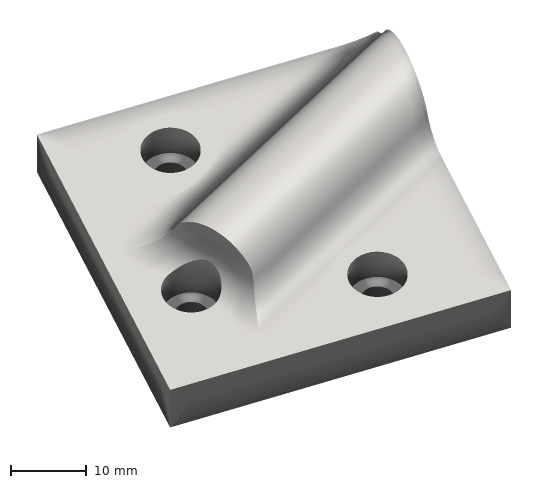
import cadquery as cq
import math

envelope = 66.0
plate_angle = -30.0
turn = math.radians(abs(plate_angle))
plate_side = envelope / (math.cos(turn) + math.sin(turn))
total_height = 15.0
plate_thickness = total_height / 2

ridge_radius = total_height - plate_thickness
fillet_radius = 5.0
ridge_end_y = -12.55

hole_offset = 17.5
hole_diameter = 4.6
counterbore_diameter = 8.0
counterbore_depth = 5.0
hole_positions = [(-hole_offset, 0), (hole_offset, 0), (0, -hole_offset)]


def square_prism(height):
    """Turned square standing on Z = 0."""
    prism = cq.Workplane("XY").rect(plate_side, plate_side).extrude(height)
    return prism.rotate((0, 0, 0), (0, 0, 1), plate_angle)


def ridge_bar():
    """Half-round bar along Y, flaring into the plate with concave fillets."""
    center_distance = ridge_radius + fillet_radius
    foot_x = math.sqrt(center_distance**2 - fillet_radius**2)
    tangent_x = foot_x * ridge_radius / center_distance
    tangent_z = plate_thickness + fillet_radius * ridge_radius / center_distance
    start_angle = math.atan2(fillet_radius, foot_x)
    middle_angle = (start_angle + math.pi / 2) / 2
    middle_x = foot_x - fillet_radius * math.cos(middle_angle)
    middle_z = plate_thickness + fillet_radius * (1 - math.sin(middle_angle))
    return (
        cq.Workplane("XZ", origin=(0, -envelope / 2, 0))
        .moveTo(-foot_x, 0)
        .lineTo(-foot_x, plate_thickness)
        .threePointArc((-middle_x, middle_z), (-tangent_x, tangent_z))
        .threePointArc((0, total_height), (tangent_x, tangent_z))
        .threePointArc((middle_x, middle_z), (foot_x, plate_thickness))
        .lineTo(foot_x, 0)
        .close()
        .extrude(-envelope)
    )


def ridge_end_limit():
    """Block along X whose front face is upright, then flares into the plate."""
    foot_y = ridge_end_y - fillet_radius
    reach = fillet_radius * (1 - math.sqrt(0.5))
    return (
        cq.Workplane("YZ", origin=(-envelope / 2, 0, 0))
        .moveTo(foot_y, 0)
        .lineTo(foot_y, plate_thickness)
        .threePointArc(
            (ridge_end_y - reach, plate_thickness + reach),
            (ridge_end_y, plate_thickness + fillet_radius),
        )
        .lineTo(ridge_end_y, total_height)
        .lineTo(envelope / 2, total_height)
        .lineTo(envelope / 2, 0)
        .close()
        .extrude(envelope)
    )


def hole_cutters():
    """Through holes with counterbores that also clear the ridge above them."""
    through = cq.Workplane("XY").pushPoints(hole_positions).circle(hole_diameter / 2).extrude(total_height)
    counterbores = (
        cq.Workplane("XY", origin=(0, 0, plate_thickness - counterbore_depth))
        .pushPoints(hole_positions)
        .circle(counterbore_diameter / 2)
        .extrude(total_height)
    )
    return through.union(counterbores)


ridge = ridge_bar().intersect(ridge_end_limit()).intersect(square_prism(total_height))
result = square_prism(plate_thickness).union(ridge).cut(hole_cutters())